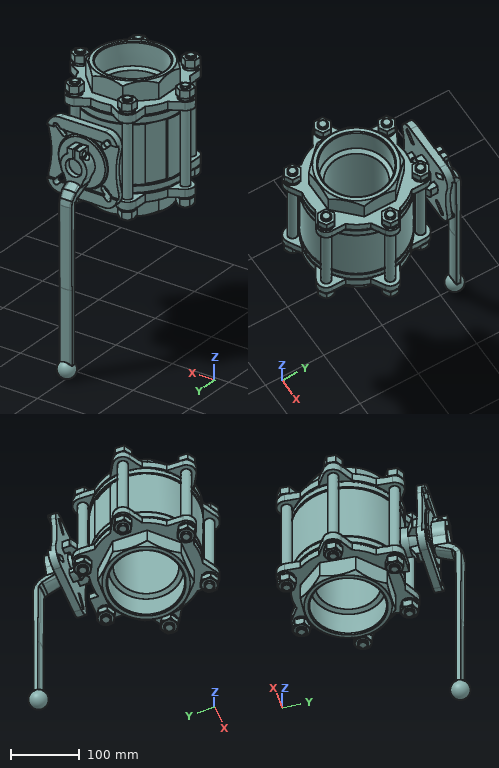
import cadquery as cq
import math


overall_height = 452.0
valve_length = 224.0
half_length = valve_length / 2
bore_dia = 96.0
thread_dia = 112.5
thread_mouth_dia = 116.0
thread_root_dia = 110.7
thread_depth = 40.0
thread_cone_depth = 3.0
octagon_flats = 130.0
octagon_end_dia = 128.5
octagon_corner_dia = octagon_flats / math.cos(math.pi / 8)

flange_width = 216.5
flange_inner_z = 65.0
flange_thickness = 14.0
flange_outer_z = flange_inner_z + flange_thickness
core_dia = 167.2
ear_radius = 15.0
ear_count = 6
ear_half_angle = math.radians(30)
bolt_circle_radius = flange_width / 2 - ear_radius

neck_dia = 163.5
band_outer_z = 63.0
band_inner_z = 51.5
groove_width = 2.0
groove_dia = 162.0
barrel_dia = 166.5
barrel_half_length = band_inner_z - groove_width

panel_angle = 152.0
panel_distance = 80.5
panel_left = -13.5
panel_right = 27.0
panel_cut_depth = 7.0

rod_dia = 16.0
rod_tip_dia = 12.0
rod_chamfer = (rod_dia - rod_tip_dia) / 2
rod_half_length = 100.5
washer_dia = 23.5
washer_thickness = 4.0
nut_flats = 24.5
nut_height = 13.5
nut_corner_dia = nut_flats / math.cos(math.pi / 6)
nut_chamfer = 2.3

boss_dia = 44.5
boss_start_y = 72.5
boss_shoulder_y = 94.5
boss_top_dia = 40.5
boss_top_y = 109.5
stem_dia = 29.0
stem_end_y = 142.0

leg_width = 17.0
leg_inner_radius = 27.0
leg_outer_radius = 36.5
leg_lip = 1.5
leg_knee_y = 104.5
leg_corner_fillet = 2.0
plate_bottom_y = 117.0
plate_thickness = 12.5
plate_top_y = plate_bottom_y + plate_thickness
plate_size = 125.0
plate_corner_radius = 22.5
waist_half_height = 35.0
waist_half_width = 57.5
slot_width = 9.0
slot_inner_radius = 49.5
slot_outer_radius = 65.5
recess_half_height = 44.0
recess_depth = 4.5
recess_floor_y = plate_top_y - recess_depth

disc_radius = 43.5
disc_chamfer = 2.3
hub_dia = 46.5
hub_top_y = 151.0
hub_tip_z = -28.5
hub_tip_start_z = -15.0
hub_tip_width = 25.5
clamp_width = 22.0
clamp_top_z = 30.5
clamp_slot_width = 3.0
clamp_hole_dia = 9.0
clamp_spotface_dia = 16.0
clamp_hole_y = 140.0
clamp_hole_z = 22.0
ball_radius = 15.0
ball_y = 168.0
ball_z = half_length - overall_height + ball_radius
grip_width = 22.5
grip_chamfer = 2.5
grip_crown = 1.0
grip_start_z = -53.0
grip_taper_end_z = -190.0
grip_start_thickness = 12.5
grip_end_thickness = 11.0

arm_root = (138.8, -26.5)
arm_root_thickness = 20.5
arm_root_width = 25.5
arm_root_chamfer = 5.5
arm_root_tilt = 37.0
arm_bend = (160.5, -38.0)
arm_bend_thickness = 15.0
arm_bend_width = 24.5
arm_bend_tilt = 65.0
arm_elbow = (167.0, -46.0)
arm_elbow_thickness = 13.5
arm_elbow_tilt = 33.0


def z_cylinder(dia, z_low, z_high):
    return cq.Workplane("XY").workplane(offset=z_low).circle(dia / 2).extrude(z_high - z_low)


def y_plane(y):
    """Plane across the stem axis, with its normal along +Y."""
    return cq.Workplane(cq.Plane(origin=(0, y, 0), xDir=(1, 0, 0), normal=(0, 1, 0)))


def y_cylinder(dia, y_low, y_high):
    return y_plane(y_low).circle(dia / 2).extrude(y_high - y_low)


def box(x_range, y_range, z_range):
    sizes = [high - low for low, high in (x_range, y_range, z_range)]
    return cq.Workplane("XY").box(*sizes, centered=False).translate((x_range[0], y_range[0], z_range[0]))


def mirrored_pair(upper):
    return upper.union(upper.mirror("XY"))


def eared_flange():
    """Six-pointed star with rounded tips, filled in by the round core."""
    tip_radius = bolt_circle_radius + ear_radius / math.sin(ear_half_angle)
    valley_radius = tip_radius / math.sqrt(3)
    points = []
    for index in range(ear_count):
        angle = 2 * math.pi * index / ear_count
        between = angle + math.pi / ear_count
        points.append((tip_radius * math.cos(angle), tip_radius * math.sin(angle)))
        points.append((valley_radius * math.cos(between), valley_radius * math.sin(between)))
    star = cq.Workplane("XY").workplane(offset=flange_inner_z).polyline(points).close().extrude(flange_thickness)
    ear_tips = (
        cq.Workplane("XY").workplane(offset=flange_inner_z)
        .polarArray(bolt_circle_radius, 0, 360, ear_count)
        .circle(ear_radius).extrude(flange_thickness)
    )
    tangent_radius = bolt_circle_radius + ear_radius * math.sin(ear_half_angle)
    hexagon = (
        cq.Workplane("XY").workplane(offset=flange_inner_z)
        .polygon(ear_count, 2 * tangent_radius / math.cos(math.pi / ear_count))
        .extrude(flange_thickness)
        .rotate((0, 0, 0), (0, 0, 1), 180 / ear_count)
    )
    core = z_cylinder(core_dia, flange_inner_z, flange_outer_z)
    return star.intersect(hexagon).union(ear_tips).union(core)


def octagon_end():
    octagon = (
        cq.Workplane("XY").workplane(offset=flange_inner_z)
        .polygon(8, octagon_corner_dia).extrude(half_length - flange_inner_z)
        .rotate((0, 0, 0), (0, 0, 1), 22.5)
    )
    cone_base_radius = octagon_end_dia / 2 + half_length - flange_inner_z
    cone = (
        cq.Workplane("XZ")
        .polyline([(0, flange_inner_z), (cone_base_radius, flange_inner_z),
                   (octagon_end_dia / 2, half_length), (0, half_length)])
        .close().revolve(360, (0, 0), (0, 1))
    )
    return octagon.intersect(cone)


def thread_bore():
    """Tapered thread bore with a 45 degree mouth and a conical seat down to the main bore."""
    mouth_chamfer = (thread_mouth_dia - thread_dia) / 2
    seat_z = half_length - thread_depth
    profile = [
        (0, seat_z - thread_cone_depth), (bore_dia / 2, seat_z - thread_cone_depth),
        (thread_root_dia / 2, seat_z), (thread_dia / 2, half_length - mouth_chamfer),
        (thread_mouth_dia / 2, half_length), (0, half_length),
    ]
    return cq.Workplane("XZ").polyline(profile).close().revolve(360, (0, 0), (0, 1))


def tie_rod(x, y):
    rod = z_cylinder(rod_dia, -rod_half_length, rod_half_length).faces("<Z or >Z").chamfer(rod_chamfer)
    washer_top = flange_outer_z + washer_thickness
    washer = z_cylinder(washer_dia, flange_outer_z, washer_top)
    nut = (
        cq.Workplane("XY").workplane(offset=washer_top)
        .polygon(6, nut_corner_dia).extrude(nut_height)
        .rotate((0, 0, 0), (0, 0, 1), 30)
    )
    rounding = z_cylinder(nut_corner_dia, washer_top, washer_top + nut_height).faces(">Z").chamfer(nut_chamfer)
    lower_nut = nut.intersect(rounding).mirror("XY")
    return rod.union(mirrored_pair(washer)).union(nut).union(lower_nut).translate((x, y, 0))


def marking_panel_cut():
    """Prism that planes the barrel flat and ends in a 45 degree wall on one side."""
    outer = panel_distance + panel_cut_depth
    outline = [(panel_distance, -panel_left), (panel_distance, -panel_right),
               (outer, -panel_right), (outer, -panel_left + panel_cut_depth)]
    prism = (
        cq.Workplane("XY").workplane(offset=-barrel_half_length)
        .polyline(outline).close().extrude(2 * barrel_half_length)
    )
    return prism.rotate((0, 0, 0), (0, 0, 1), panel_angle)


def flange_web():
    """Fills the lower flange between the stem side and the neighbouring +X ear."""
    ear_x = bolt_circle_radius * math.sin(ear_half_angle)
    ear_top_y = bolt_circle_radius * math.cos(ear_half_angle) + ear_radius
    return box((boss_dia / 2 - 4.5, ear_x), (boss_start_y, ear_top_y), (-flange_outer_z, -flange_inner_z))


def stem_boss():
    """Cylinder rising from the barrel, with a slightly tapered top."""
    profile = [(0, boss_start_y), (boss_dia / 2, boss_start_y), (boss_dia / 2, boss_shoulder_y),
               (boss_top_dia / 2, boss_top_y), (0, boss_top_y)]
    return cq.Workplane("XY").polyline(profile).close().revolve(360, (0, 0), (0, 1))


def bracket_legs():
    """Ring of L-shaped profile round the stem axis, kept only where the four legs run."""
    lip_radius = leg_outer_radius + leg_lip
    outline = [
        (leg_inner_radius, plate_bottom_y), (leg_outer_radius, plate_bottom_y),
        (leg_outer_radius, leg_knee_y + leg_lip), (lip_radius, leg_knee_y),
        (leg_outer_radius, leg_knee_y - leg_lip), (boss_dia / 2, boss_shoulder_y), (0, boss_shoulder_y),
    ]
    ring = (
        cq.Workplane("XY").moveTo(0, boss_top_y)
        .lineTo(leg_inner_radius - leg_corner_fillet, boss_top_y)
        .radiusArc((leg_inner_radius, boss_top_y + leg_corner_fillet), -leg_corner_fillet)
        .polyline(outline, includeCurrent=True).close().revolve(360, (0, 0), (0, 1))
    )
    cross_length = 2 * lip_radius + 4.5
    cross_depth = plate_bottom_y - boss_shoulder_y
    cross = (
        y_plane(boss_shoulder_y).rect(cross_length, leg_width).extrude(cross_depth)
        .union(y_plane(boss_shoulder_y).rect(leg_width, cross_length).extrude(cross_depth))
    )
    return ring.intersect(cross)


def mounting_plate():
    half = plate_size / 2
    corner_centre = half - plate_corner_radius
    corner_middle = corner_centre + plate_corner_radius * math.sqrt(0.5)
    overrun = corner_centre - waist_half_height
    waist_x = corner_centre + math.sqrt(plate_corner_radius ** 2 - overrun ** 2)
    plate = (
        y_plane(plate_bottom_y).moveTo(corner_centre, half)
        .threePointArc((corner_middle, corner_middle), (waist_x, waist_half_height))
        .threePointArc((waist_half_width, 0), (waist_x, -waist_half_height))
        .threePointArc((corner_middle, -corner_middle), (corner_centre, -half))
        .lineTo(-corner_centre, -half)
        .threePointArc((-corner_middle, -corner_middle), (-waist_x, -waist_half_height))
        .threePointArc((-waist_half_width, 0), (-waist_x, waist_half_height))
        .threePointArc((-corner_middle, corner_middle), (-corner_centre, half))
        .close().extrude(plate_thickness)
    )
    slot_length = slot_outer_radius - slot_inner_radius + slot_width
    slot_centre = (slot_inner_radius + slot_outer_radius) / 2
    slot = y_plane(plate_bottom_y).center(slot_centre, 0).slot2D(slot_length, slot_width).extrude(plate_thickness)
    for angle in (45, 135, 225, 315):
        plate = plate.cut(slot.rotate((0, 0, 0), (0, 1, 0), angle))

    recess = box((-half, half), (recess_floor_y, plate_top_y), (-recess_half_height, recess_half_height))
    return plate.cut(recess)


def valve():
    upper = (
        eared_flange()
        .union(octagon_end())
        .union(z_cylinder(neck_dia, band_outer_z, flange_inner_z))
        .union(z_cylinder(core_dia, band_inner_z, band_outer_z))
        .union(z_cylinder(groove_dia, barrel_half_length, band_inner_z))
    )
    barrel = z_cylinder(barrel_dia, -barrel_half_length, barrel_half_length).cut(marking_panel_cut())
    body = barrel.union(mirrored_pair(upper)).union(flange_web()).union(stem_boss())
    body = body.cut(z_cylinder(bore_dia, -half_length, half_length))
    body = body.cut(mirrored_pair(thread_bore()))
    for index in range(ear_count):
        angle = 2 * math.pi * index / ear_count
        body = body.union(tie_rod(bolt_circle_radius * math.cos(angle), bolt_circle_radius * math.sin(angle)))
    body = body.union(bracket_legs()).union(mounting_plate())
    return body.union(y_cylinder(stem_dia, boss_start_y, stem_end_y))


def lever_hub():
    """Stop disc and round hub with a tapered tip below and a clamp block above."""
    disc = y_cylinder(2 * disc_radius, recess_floor_y, plate_top_y).faces(">Y").chamfer(disc_chamfer)
    hub = disc.union(y_cylinder(hub_dia, plate_top_y, hub_top_y))

    start_x = math.sqrt((hub_dia / 2) ** 2 - hub_tip_start_z ** 2)
    tip_x = hub_tip_width / 2
    tip = (
        y_plane(plate_top_y)
        .polyline([(-start_x, -hub_tip_start_z), (start_x, -hub_tip_start_z),
                   (tip_x, -hub_tip_z), (-tip_x, -hub_tip_z)])
        .close().extrude(hub_top_y - plate_top_y)
    )
    clamp = box((-clamp_width / 2, clamp_width / 2), (plate_top_y, hub_top_y), (0, clamp_top_z))
    return hub.union(tip).union(clamp)


def clamp_cuts():
    """Split through the clamp, its cross hole and a spotface on each side."""
    split = box((-clamp_slot_width / 2, clamp_slot_width / 2), (plate_top_y, hub_top_y), (0, clamp_top_z))
    screw_plane = cq.Workplane("YZ").center(clamp_hole_y, clamp_hole_z)
    screw_hole = screw_plane.circle(clamp_hole_dia / 2).extrude(hub_dia / 2, both=True)
    spotface = screw_plane.workplane(offset=clamp_width / 2).circle(clamp_spotface_dia / 2).extrude(hub_dia / 2)
    return split.union(screw_hole).union(spotface).union(spotface.mirror("YZ"))


def bar_section(centre, thickness, tilt=0.0, width=grip_width, chamfer=grip_chamfer):
    """Chamfered bar outline with crowned broad faces, tilted about X from the horizontal."""
    angle = math.radians(tilt)
    plane = cq.Plane(origin=(0, *centre), xDir=(1, 0, 0), normal=(0, -math.sin(angle), math.cos(angle)))
    side_x = width / 2
    face_x = side_x - chamfer
    face_y = thickness / 2 - grip_crown
    side_y = face_y - chamfer / 2
    return (
        cq.Workplane(plane).moveTo(side_x, -side_y).lineTo(side_x, side_y).lineTo(face_x, face_y)
        .threePointArc((0, thickness / 2), (-face_x, face_y))
        .lineTo(-side_x, side_y).lineTo(-side_x, -side_y).lineTo(-face_x, -face_y)
        .threePointArc((0, -thickness / 2), (face_x, -face_y))
        .close().wire().val()
    )


def lever_bar():
    """Cranked arm running from the hub into the straight grip and the ball."""
    sections = [
        bar_section(arm_root, arm_root_thickness, arm_root_tilt, arm_root_width, arm_root_chamfer),
        bar_section(arm_bend, arm_bend_thickness, arm_bend_tilt, arm_bend_width),
        bar_section(arm_elbow, arm_elbow_thickness, arm_elbow_tilt),
        bar_section((ball_y, grip_start_z), grip_start_thickness),
        bar_section((ball_y, grip_taper_end_z), grip_end_thickness),
        bar_section((ball_y, ball_z), grip_end_thickness),
    ]
    bar = cq.Workplane(cq.Solid.makeLoft(sections, True))
    knob = cq.Workplane("XY").sphere(ball_radius).translate((0, ball_y, ball_z))
    return bar.union(knob)


def lever():
    stem_hole = y_cylinder(stem_dia, recess_floor_y, hub_top_y)
    return lever_hub().union(lever_bar()).cut(clamp_cuts()).cut(stem_hole)


valve_body = valve()
lever_body = lever()
result = cq.Compound.makeCompound([valve_body.val(), lever_body.val()])